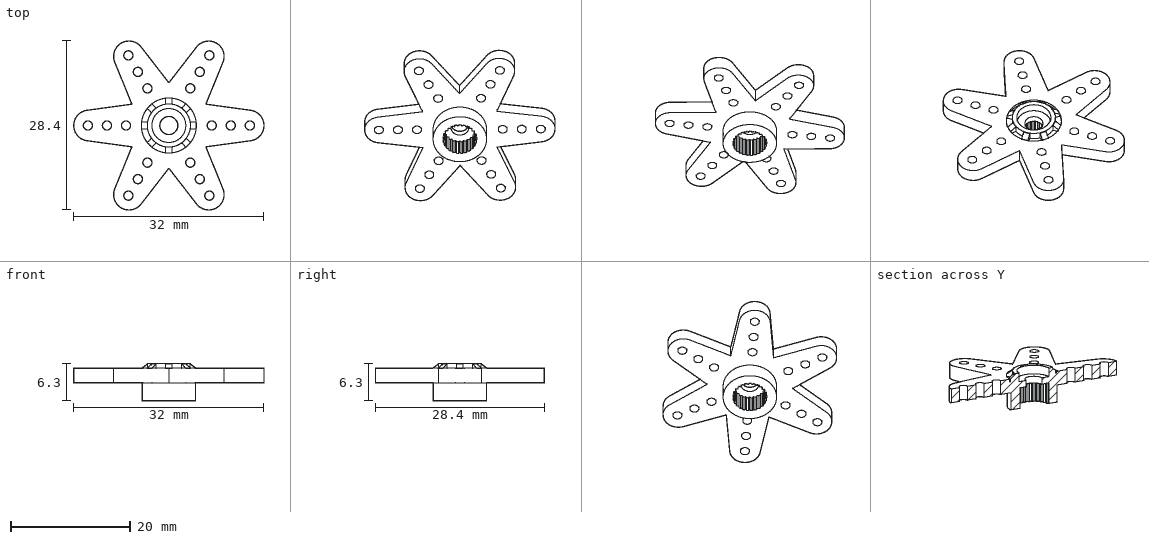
import cadquery as cq
import math

arm_count = 6
arm_pitch = 360 / arm_count
plate_thickness = 2.5
arm_reach = 16.0
arm_tip_radius = 2.6
notch_distance = 7.2

arm_hole_diameter = 1.5
arm_hole_start = 7.2
arm_hole_spacing = 3.2
holes_per_arm = 3

hub_diameter = 9.0
hub_height = 3.0
collar_diameter = 7.25
collar_height = 0.8

groove_diameter = 9.25
groove_depth = 0.5
rib_count = 8
rib_width = 1.1
rib_drop = 0.75
rib_start_step = 0.1

recess_diameter = 5.7
recess_depth = 1.5
screw_hole_diameter = 3.0
floor_thickness = 1.2
spline_teeth = 25
spline_root_diameter = 5.7
spline_tip_diameter = 5.3
spline_root_share = 0.4

plate_top = hub_height + plate_thickness
part_top = plate_top + collar_height
socket_depth = part_top - recess_depth - floor_thickness


def polar(radius, degrees):
    angle = math.radians(degrees)
    return (radius * math.cos(angle), radius * math.sin(angle))


def cylinder(diameter, bottom, height):
    return cq.Workplane("XY").workplane(offset=bottom).circle(diameter / 2).extrude(height)


def make_plate():
    """Star plate whose straight arm sides run from the notches tangent to the rounded tips."""
    tip_center = arm_reach - arm_tip_radius
    notch_x, notch_y = polar(notch_distance, arm_pitch / 2)
    run = tip_center - notch_x
    side_slope = math.asin(arm_tip_radius / math.hypot(run, notch_y))
    side_angle = 90 - math.degrees(math.atan2(notch_y, run) - side_slope)
    offset_x, offset_y = polar(arm_tip_radius, side_angle)
    tangent_distance = math.hypot(tip_center + offset_x, offset_y)
    tangent_angle = math.degrees(math.atan2(offset_y, tip_center + offset_x))

    outline = cq.Workplane("XY").workplane(offset=hub_height)
    outline = outline.moveTo(*polar(notch_distance, -arm_pitch / 2))
    for arm in range(arm_count):
        direction = arm * arm_pitch
        outline = outline.lineTo(*polar(tangent_distance, direction - tangent_angle))
        outline = outline.threePointArc(
            polar(arm_reach, direction),
            polar(tangent_distance, direction + tangent_angle),
        )
        if arm < arm_count - 1:
            outline = outline.lineTo(*polar(notch_distance, direction + arm_pitch / 2))
    return outline.close().extrude(plate_thickness)


def make_arm_holes():
    centers = []
    for arm in range(arm_count):
        for hole in range(holes_per_arm):
            centers.append(polar(arm_hole_start + hole * arm_hole_spacing, arm * arm_pitch))
    holes = cq.Workplane("XY").workplane(offset=hub_height).pushPoints(centers)
    return holes.circle(arm_hole_diameter / 2).extrude(plate_thickness)


def make_groove():
    groove_floor = plate_top - groove_depth
    ring = cq.Workplane("XY").workplane(offset=groove_floor)
    return ring.circle(groove_diameter / 2).circle(collar_diameter / 2).extrude(groove_depth)


def make_ribs():
    """Ribs that slope from just below the collar's rim down into the groove.

    Each rib starts and ends where its two sides meet the round walls of collar and groove.
    """
    groove_floor = plate_top - groove_depth
    root_radius = (recess_diameter + collar_diameter) / 4
    slope_start = math.sqrt((collar_diameter / 2) ** 2 - (rib_width / 2) ** 2)
    slope_end = math.sqrt((groove_diameter / 2) ** 2 - (rib_width / 2) ** 2)
    profile = [
        (root_radius, groove_floor),
        (slope_end, groove_floor),
        (slope_end, part_top - rib_start_step - rib_drop),
        (slope_start, part_top - rib_start_step),
        (root_radius, part_top - rib_start_step),
    ]
    rib = cq.Workplane("XZ").polyline(profile).close().extrude(rib_width / 2, both=True)
    ribs = rib
    for index in range(1, rib_count):
        ribs = ribs.union(rib.rotate((0, 0, 0), (0, 0, 1), index * 360 / rib_count))
    return ribs


def make_splined_socket():
    """Socket open at the hub's underside, with pointed teeth between stretches of round wall."""
    pitch = 360 / spline_teeth
    half_wall = pitch * spline_root_share / 2
    root_radius = spline_root_diameter / 2
    outline = cq.Workplane("XY").moveTo(*polar(spline_tip_diameter / 2, 0))
    for tooth in range(spline_teeth):
        wall_center = (tooth + 0.5) * pitch
        outline = outline.lineTo(*polar(root_radius, wall_center - half_wall))
        outline = outline.threePointArc(
            polar(root_radius, wall_center),
            polar(root_radius, wall_center + half_wall),
        )
        if tooth < spline_teeth - 1:
            outline = outline.lineTo(*polar(spline_tip_diameter / 2, (tooth + 1) * pitch))
    return outline.close().extrude(socket_depth)


result = (
    make_plate()
    .union(cylinder(hub_diameter, 0, hub_height))
    .cut(make_arm_holes())
    .cut(make_groove())
    .union(cylinder(collar_diameter, plate_top, collar_height))
    .union(make_ribs())
    .cut(cylinder(recess_diameter, part_top - recess_depth, recess_depth))
    .cut(cylinder(screw_hole_diameter, 0, part_top))
    .cut(make_splined_socket())
)